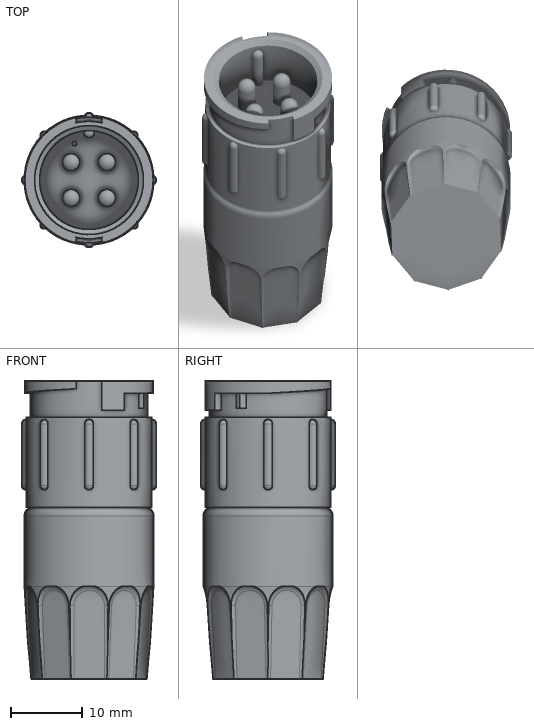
import cadquery as cq
import math

total_height = 41.9
grip_top = 13.05
body_top = 24.15
sleeve_top = 36.8

grip_bottom_radius = 16.55 / 2
body_radius = 9.1
body_edge_fillet = 1.17
sleeve_radius = 17.65 / 2
neck_radius = 8.25
flange_radius = 9.0

flat_count = 10
flat_distance = 7.63
arch_centre_height = 10.4
arch_radius = 2.85
flat_edge_fillet = 0.7
grip_bottom_chamfer = 0.2

rib_count = 8
rib_radius = 0.63
rib_bottom = 27.25
rib_top = 35.87

flange_bottom = 40.2
ramp_rise = 0.63
notch_half_width = 1.8
block_end = 5.0
block_bottom = 37.8
stop_bottom = 38.1
stop_inner_x = 6.95
stop_outer_x = 7.65
stop_tip_y = 3.95

bore_radius = 13.87 / 2
mouth_radius = 15.3 / 2
mouth_depth = 0.6
socket_floor = 34.35
pin_radius = 1.2
pin_offset = 2.5
pin_dome_centre = 38.1
key_radius = 0.75
key_offset = 6.7
key_dome_centre = 39.85
mark_radius = 0.315
mark_x = -2.05
mark_y = 5.1

overlap = 0.4


def cylinder(radius, bottom, top):
    return cq.Workplane("XY").workplane(offset=bottom).circle(radius).extrude(top - bottom)


def domed_rod(radius, x, y, bottom, dome_centre):
    """Vertical rod with a hemispherical upper end."""
    rod = cylinder(radius, bottom, dome_centre).union(
        cq.Workplane("XY").sphere(radius).translate((0, 0, dome_centre))
    )
    return rod.translate((x, y, 0))


def half_turn(shape):
    return shape.rotate((0, 0, 0), (0, 0, 1), 180)


def make_grip():
    """Tapered lower end with arched flats sunk into it."""
    grip = (
        cq.Workplane("XZ")
        .polyline([(0, 0), (grip_bottom_radius, 0), (body_radius, grip_top), (0, grip_top)])
        .close()
        .revolve(360, (0, 0, 0), (0, 1, 0))
        .faces("<Z")
        .edges()
        .chamfer(grip_bottom_chamfer)
    )
    taper = math.atan((body_radius - grip_bottom_radius) / grip_top)
    flat_plane = cq.Plane(
        origin=(0, -flat_distance, 0),
        xDir=(1, 0, 0),
        normal=(0, -math.cos(taper), -math.sin(taper)),
    )
    tool_bottom = -2 * arch_radius
    cutter = (
        cq.Workplane(flat_plane)
        .moveTo(-arch_radius, tool_bottom)
        .lineTo(arch_radius, tool_bottom)
        .lineTo(arch_radius, arch_centre_height)
        .threePointArc((0, arch_centre_height + arch_radius), (-arch_radius, arch_centre_height))
        .close()
        .extrude(2 * arch_radius)
        .faces(cq.selectors.DirectionMinMaxSelector(flat_plane.zDir, False))
        .edges()
        .fillet(flat_edge_fillet)
    )
    for i in range(flat_count):
        grip = grip.cut(cutter.rotate((0, 0, 0), (0, 0, 1), i * 360 / flat_count))
    return grip


def make_sleeve():
    """Sleeve with evenly spaced round-ended ribs."""
    sleeve = cylinder(sleeve_radius, body_top, sleeve_top)
    rib = domed_rod(rib_radius, sleeve_radius, 0, rib_bottom, rib_top).union(
        cq.Workplane("XY").sphere(rib_radius).translate((sleeve_radius, 0, rib_bottom))
    )
    for i in range(rib_count):
        sleeve = sleeve.union(rib.rotate((0, 0, 0), (0, 0, 1), i * 360 / rib_count))
    return sleeve


def make_ramp_cutter():
    """Helical band below the flange, climbing from -X round to the notch at -Y."""
    ramp_angle = 90 - math.degrees(math.asin(notch_half_width / flange_radius))
    pitch = ramp_rise * 360 / ramp_angle
    path = cq.Wire.makeHelix(pitch, ramp_rise, flange_radius)
    band = (
        cq.Workplane("XZ")
        .moveTo(neck_radius - overlap, 0)
        .lineTo(flange_radius + overlap, 0)
        .lineTo(flange_radius + overlap, -2 * ramp_rise)
        .lineTo(neck_radius - overlap, -2 * ramp_rise)
        .close()
        .sweep(cq.Workplane(path), isFrenet=True)
    )
    return half_turn(band.translate((0, 0, flange_bottom)))


def make_block():
    """Lug hanging below the flange beside the notch at -Y."""
    block_width = block_end - notch_half_width
    block_height = total_height - block_bottom
    block_zone = (
        cq.Workplane("XY")
        .box(block_width, flange_radius, block_height, centered=False)
        .translate((notch_half_width, -flange_radius, block_bottom))
    )
    return cylinder(flange_radius, block_bottom, total_height).intersect(block_zone)


def make_stop():
    """Small wedge on the neck, under the flange on the +X, -Y side."""
    root_x = stop_inner_x - overlap
    start_y = -math.sqrt(neck_radius**2 - stop_inner_x**2)
    end_y = -math.sqrt(neck_radius**2 - stop_outer_x**2)
    return (
        cq.Workplane("XY")
        .workplane(offset=stop_bottom)
        .polyline([
            (stop_inner_x, start_y),
            (stop_outer_x, -stop_tip_y),
            (stop_outer_x, end_y),
            (root_x, end_y),
        ])
        .close()
        .extrude(flange_bottom - stop_bottom)
    )


def make_coupling():
    """Neck and bayonet flange; its details repeat after half a turn."""
    flange = cylinder(flange_radius, flange_bottom, total_height)
    notch = cq.Workplane("XY").box(2 * notch_half_width, 3 * flange_radius, 3 * total_height)
    ramp_cutter = make_ramp_cutter()
    flange = flange.cut(notch).cut(ramp_cutter).cut(half_turn(ramp_cutter))
    coupling = cylinder(neck_radius, sleeve_top, total_height).union(flange)
    for detail in (make_block(), make_stop()):
        coupling = coupling.union(detail).union(half_turn(detail))
    return coupling


def make_socket():
    """Bore with a conical mouth, to be removed from the open end."""
    return (
        cq.Workplane("XZ")
        .polyline([
            (0, socket_floor),
            (bore_radius, socket_floor),
            (bore_radius, total_height - mouth_depth),
            (mouth_radius, total_height),
            (0, total_height),
        ])
        .close()
        .revolve(360, (0, 0, 0), (0, 1, 0))
    )


body = cylinder(body_radius, grip_top, body_top).faces(">Z").edges().fillet(body_edge_fillet)
result = make_grip().union(body).union(make_sleeve()).union(make_coupling()).cut(make_socket())

rod_bottom = socket_floor - overlap
for side_x in (-1, 1):
    for side_y in (-1, 1):
        pin = domed_rod(pin_radius, side_x * pin_offset, side_y * pin_offset, rod_bottom, pin_dome_centre)
        result = result.union(pin)
result = result.union(domed_rod(key_radius, 0, key_offset, rod_bottom, key_dome_centre))

result = result.union(cq.Workplane("XY").sphere(mark_radius).translate((mark_x, mark_y, socket_floor)))